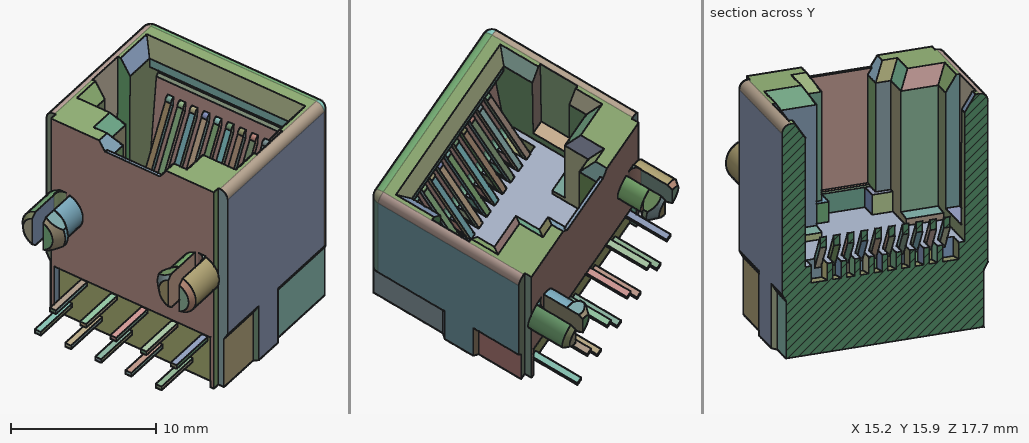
import cadquery as cq
import math

width = 15.24
depth = 12.70
height = 17.65
edge_radius = 0.66
front_width = 13.70
front_step = 0.55

recess_width = 13.12
recess_height = 4.49
recess_depth = front_step
grid = 2.54
pins_per_row = 5
pin_width = 0.50
pin_thickness = 0.33
pin_reach = 3.18
lower_row_z = 1.17
upper_row_z = lower_row_z + grid
lower_row_x = -2.25 * grid
row_shift = grid / 2

relief_depth = 0.30
relief_height = 4.87
relief_slope_z = 0.55
rib_front_y = 4.26
rib_front_slope = 0.24
rib_back_y = 6.59
rib_back_slope = 0.35

chamber_half = 5.87
chamber_front = 3.65
chamber_back = 10.37
keyway_half = 3.12
keyway_front = 1.74
latch_half = 2.00
latch_front = 0.24
lead_in_run = 0.80
lead_in_depth = 1.25
notch_depth = 0.77

floor_z = 6.70
floor_front_y = 4.67
front_ledge_z = floor_z + 0.5
front_ledge_rise = 0.10
floor_back_y = 9.60
lip_height = 0.75
undercut_y = 11.40
undercut_z = 14.45
undercut_chamfer = 0.22
back_wall_low_y = 10.36
back_wall_low_z = 6.50
gutter_y = 9.79
gutter_z = 5.66
gutter_mid_y = 10.17
gutter_mid_z = 5.90
gutter_slope = 0.19
shelf_z = floor_z + 1.5
pocket_half = 1.60
sill_back = 0.54
sill_drop = 0.065
pocket_front = 0.74
key_floor_front = 2.12

groove_half = 6.91
groove_front_y = 5.03
groove_back_y = 7.98
groove_draft = 0.08
groove_floor_z = floor_z + 1.0

contact_count = 10
contact_pitch = 1.016
contact_width = 0.48
contact_thickness = 0.38
contact_slope = 1.90
contact_top_y = 11.10
contact_top_z = 13.20
contact_bend = 0.36
contact_bend_drop = 0.38
contact_root = 0.40
slot_width = 0.57
slot_front_y = 7.58
comb_half = 5.44
contact_embed = 0.25

peg_x = 5.73
peg_z = 10.00
peg_radius = 1.57
peg_slot_half = 0.46
peg_root_radius = 0.61
peg_root_half_height = 1.59
peg_tip_length = 0.40
peg_tip_inset = 0.33
barb_rear = 1.88
barb_full = 2.18
barb_front = 2.52
barb_radius = 1.85
barb_tip_radius = 1.26
barb_flat_peak = 1.79
barb_flat_slope = 0.625


def block(x0, x1, y0, y1, z0, z1):
    """Box between two opposite corners."""
    return cq.Workplane("XY").box(x1 - x0, y1 - y0, z1 - z0, centered=False).translate((x0, y0, z0))


def profile_across(points, half):
    """Prism along X, symmetric about X = 0, from (Y, Z) points."""
    return cq.Workplane("YZ").polyline(points).close().extrude(half, both=True)


def both_sides(part):
    """The part together with its mirror image in X = 0."""
    return part.union(part.mirror("YZ"))


def make_body():
    shell = block(-width / 2, width / 2, front_step, depth, 0, height)
    shell = shell.edges("(|Z and >Y) or (>Z and (not <Y))").fillet(edge_radius)
    front = block(-front_width / 2, front_width / 2, 0, 2 * front_step, 0, height)
    recess = block(-recess_width / 2, recess_width / 2, 0, recess_depth, 0, recess_height)
    return shell.union(front).cut(recess).cut(make_side_reliefs())


def relief(y_outer, y_inner, y_end):
    """Relief in the +X side; its top and the end by the rib are sloped."""
    outer = [(y_outer, 0), (y_end, 0), (y_end, relief_height), (y_outer, relief_height)]
    inner_height = relief_height - relief_slope_z
    inner = [(y_inner, 0), (y_end, 0), (y_end, inner_height), (y_inner, inner_height)]
    start = cq.Workplane("YZ", origin=(width / 2, 0, 0)).polyline(outer).close()
    return start.workplane(offset=-relief_depth).polyline(inner).close().loft(ruled=True)


def make_side_reliefs():
    front = relief(rib_front_y, rib_front_y - rib_front_slope, front_step)
    back = relief(rib_back_y, rib_back_y + rib_back_slope, depth)
    return both_sides(front.union(back))


def opening_outline(grow):
    """Stepped outline of the plug opening, enlarged by grow."""
    right = [
        (latch_half + grow, latch_front),
        (latch_half + grow, keyway_front - grow),
        (keyway_half + grow, keyway_front - grow),
        (keyway_half + grow, chamber_front - grow),
        (chamber_half + grow, chamber_front - grow),
        (chamber_half + grow, chamber_back + grow),
    ]
    left = [(-x, y) for x, y in reversed(right)]
    return right + left


def make_lead_in():
    throat_z = height - lead_in_depth
    start = cq.Workplane("XY", origin=(0, 0, throat_z)).polyline(opening_outline(0)).close()
    funnel = start.workplane(offset=lead_in_depth).polyline(opening_outline(lead_in_run)).close()
    funnel = funnel.loft(ruled=True)

    notch_run = lead_in_run * notch_depth / lead_in_depth
    top_half = latch_half + lead_in_run
    notch_half = top_half - notch_run
    notch_z = height - notch_depth
    trapezoid = [(-top_half, height), (top_half, height), (notch_half, notch_z), (-notch_half, notch_z)]
    notch = cq.Workplane("XZ").polyline(trapezoid).close().extrude(-latch_front)
    return funnel.union(notch)


def make_keyway():
    """Latch slot and keyway in front of the chamber, with ledges near the floor."""
    throat_z = height - lead_in_depth
    sill_z = shelf_z + sill_drop
    latch_points = [
        (latch_front, throat_z),
        (latch_front, sill_z),
        (sill_back, sill_z),
        (pocket_front, shelf_z),
        (floor_front_y, shelf_z),
        (floor_front_y, throat_z),
    ]
    latch = profile_across(latch_points, latch_half)
    key = block(-keyway_half, keyway_half, keyway_front, floor_front_y, shelf_z, throat_z)
    key_floor = block(-keyway_half, keyway_half, key_floor_front, floor_front_y, floor_z, throat_z)
    pocket = block(-pocket_half, pocket_half, pocket_front, floor_front_y, floor_z, shelf_z)
    return latch.union(key).union(key_floor).union(pocket)


def make_chamber():
    throat_z = height - lead_in_depth
    lip_z = throat_z - lip_height
    gutter_front_z = gutter_z - gutter_slope * (gutter_y - floor_back_y)
    chamber = (
        cq.Workplane("YZ")
        .moveTo(chamber_front, throat_z)
        .lineTo(chamber_front, front_ledge_z + front_ledge_rise)
        .lineTo(floor_front_y, front_ledge_z)
        .lineTo(floor_front_y, floor_z)
        .lineTo(floor_back_y, floor_z)
        .lineTo(floor_back_y, gutter_front_z)
        .lineTo(gutter_y, gutter_z)
        .threePointArc((gutter_mid_y, gutter_mid_z), (back_wall_low_y, back_wall_low_z))
        .lineTo(undercut_y - undercut_chamfer, undercut_z - undercut_chamfer)
        .lineTo(undercut_y, undercut_z)
        .lineTo(undercut_y, lip_z)
        .lineTo(chamber_back, lip_z)
        .lineTo(chamber_back, throat_z)
        .close()
        .extrude(chamber_half, both=True)
    )
    groove_points = [
        (groove_front_y, groove_floor_z),
        (groove_back_y, groove_floor_z),
        (groove_back_y + groove_draft, height),
        (groove_front_y, height),
    ]
    return chamber.union(profile_across(groove_points, groove_half))


def contact_positions():
    first = -(contact_count - 1) / 2 * contact_pitch
    return [first + i * contact_pitch for i in range(contact_count)]


def make_comb_slots():
    front_z = gutter_z - gutter_slope * (gutter_y - slot_front_y)
    back_z = gutter_z - gutter_slope * (gutter_y - floor_back_y)
    points = [
        (slot_front_y, front_z),
        (floor_back_y, back_z),
        (floor_back_y, floor_z),
        (slot_front_y, floor_z),
    ]
    all_slots = profile_across(points, comb_half)
    centres = contact_positions()
    for left, right in zip(centres, centres[1:]):
        finger = block(left + slot_width / 2, right - slot_width / 2, slot_front_y, floor_back_y, 0, floor_z)
        all_slots = all_slots.cut(finger)
    return all_slots


def make_contacts():
    bend_y = contact_top_y - contact_bend
    bend_z = contact_top_z - contact_bend_drop
    end_y = slot_front_y - contact_embed
    end_z = bend_z - contact_slope * (bend_y - end_y)
    drop = contact_thickness * math.hypot(1, contact_slope)
    root_y = contact_top_y + contact_root
    contact = (
        cq.Workplane("YZ")
        .moveTo(root_y, contact_top_z)
        .lineTo(contact_top_y, contact_top_z)
        .tangentArcPoint((bend_y, bend_z), relative=False)
        .lineTo(end_y, end_z)
        .lineTo(end_y, end_z - drop)
        .lineTo(contact_top_y, bend_z - drop + contact_slope * contact_bend)
        .lineTo(root_y, bend_z - drop + contact_slope * contact_bend)
        .close()
        .extrude(contact_width / 2, both=True)
    )
    contacts = cq.Workplane("XY")
    for x in contact_positions():
        contacts = contacts.add(contact.translate((x, 0, 0)))
    return contacts.combine()


def make_pins():
    pins = cq.Workplane("XY")
    for first_x, z in ((lower_row_x, lower_row_z), (lower_row_x + row_shift, upper_row_z)):
        for i in range(pins_per_row):
            x = first_x + i * grid
            pin = block(
                x - pin_width / 2, x + pin_width / 2,
                -pin_reach, recess_depth,
                z - pin_thickness / 2, z + pin_thickness / 2,
            )
            pins = pins.add(pin)
    return pins.combine()


def make_barbed_post():
    """Round post with a barbed end, flattened toward +X by two sloping flats."""
    profile = [
        (0, 0),
        (peg_radius, 0),
        (peg_radius, -barb_rear),
        (barb_radius, -barb_full),
        (barb_radius, -barb_front),
        (barb_tip_radius, -pin_reach),
        (0, -pin_reach),
    ]
    post = cq.Workplane("XY").polyline(profile).close().revolve(360, (0, 0, 0), (0, 1, 0))
    nose_x = barb_flat_peak / barb_flat_slope
    between_flats = [(0, -barb_flat_peak), (nose_x, 0), (0, barb_flat_peak)]
    barb_end = cq.Workplane("XZ").polyline(between_flats).close().extrude(pin_reach)
    stem = cq.Workplane("XZ").circle(peg_radius).extrude(barb_rear)
    return post.intersect(barb_end.union(stem))


def make_peg():
    """Split peg on the Y axis at the origin: plain half toward -X, barbed half toward +X."""
    outer = cq.Workplane("XZ").circle(peg_radius).extrude(pin_reach)
    outer = outer.faces("<Y").chamfer(peg_tip_length, peg_tip_inset)
    outer = outer.intersect(
        block(-peg_radius, -peg_slot_half, -pin_reach, 0, -peg_radius, peg_radius)
    )
    root_x = peg_root_radius - peg_slot_half
    root = (
        cq.Workplane("XY", origin=(0, 0, -peg_root_half_height))
        .moveTo(-peg_slot_half, 0)
        .lineTo(-peg_slot_half, -peg_root_radius)
        .radiusArc((root_x, 0), peg_root_radius)
        .close()
        .extrude(2 * peg_root_half_height)
    )

    inner = make_barbed_post().intersect(
        block(peg_slot_half, barb_radius, -pin_reach, 0, -peg_radius, peg_radius)
    )
    return outer.union(root).union(inner)


def make_pegs():
    return both_sides(make_peg().translate((-peg_x, 0, peg_z)))


result = make_body()
for cavity in (make_lead_in(), make_keyway(), make_chamber(), make_comb_slots()):
    result = result.cut(cavity)
for addition in (make_contacts(), make_pins(), make_pegs()):
    result = result.union(addition)